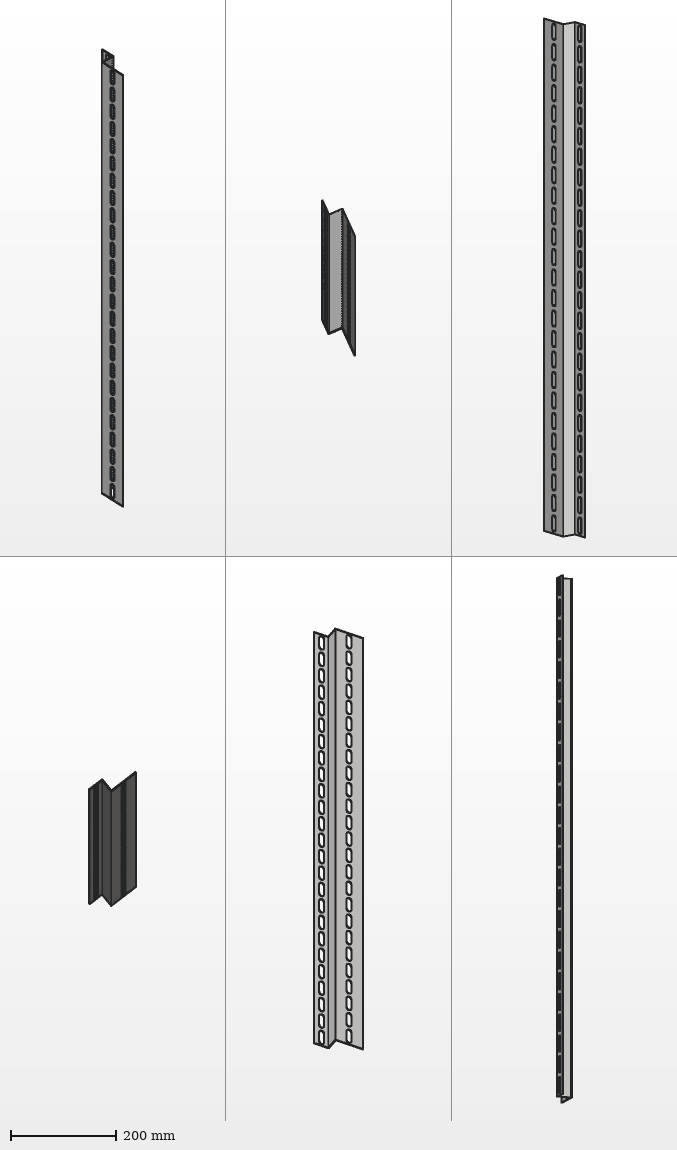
import cadquery as cq

length = 1000.0
width = 90.0
depth = 30.0
thickness = 2.0
rear_flange = 32.0
web_left = rear_flange - thickness

slot_pitch = 40.0
slot_count = round(length / slot_pitch)
slot_length = 32.0
slot_width = 10.0
slot_angle = 90
rear_slot_x = rear_flange / 2
front_slot_x = (web_left + width) / 2


def z_section():
    """Rear flange on the left, web in the middle, front flange on the right."""
    outline = [
        (0, depth),
        (rear_flange, depth),
        (rear_flange, thickness),
        (width, thickness),
        (width, 0),
        (web_left, 0),
        (web_left, depth - thickness),
        (0, depth - thickness),
    ]
    return cq.Workplane("XY").polyline(outline).close().extrude(length)


def slot_row(center_x):
    """Cutters along the full length, deep enough to pass through either flange."""
    first_z = slot_pitch / 2
    centers = [(center_x, first_z + i * slot_pitch) for i in range(slot_count)]
    row = cq.Workplane("XZ").pushPoints(centers)
    return row.slot2D(slot_length, slot_width, slot_angle).extrude(-depth)


result = z_section().cut(slot_row(rear_slot_x)).cut(slot_row(front_slot_x))